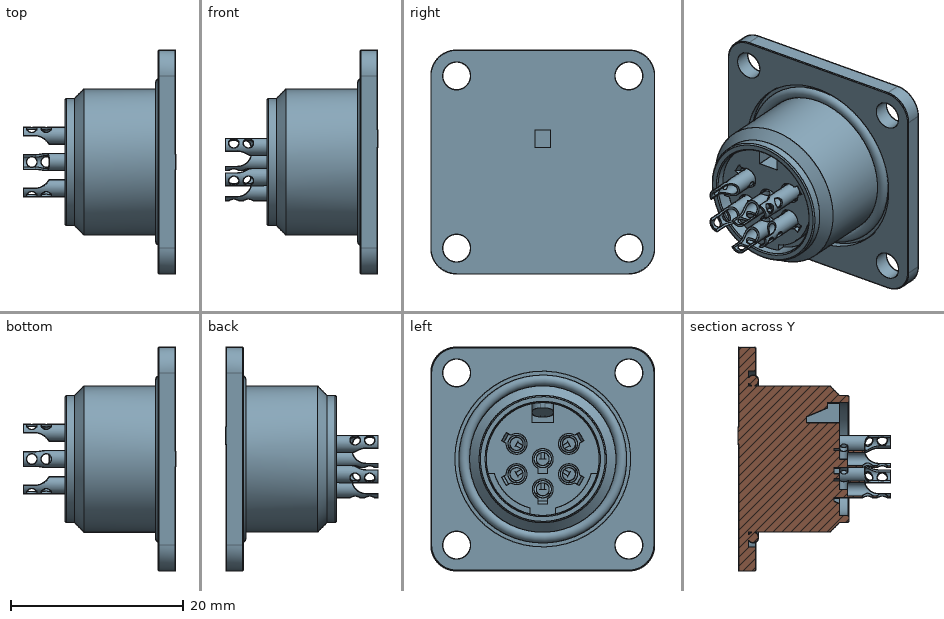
import cadquery as cq
import math


flange_side = 26.0
flange_thickness = 2.0
flange_corner_radius = 3.0
flange_edge_chamfer = 0.1
mount_hole_spacing = 20.0
mount_hole_diameter = 3.2

seal_section_radius = 0.62
seal_height = 0.3
seal_groove_diameter = 20.4
seal_overlap = 0.1

shell_diameter = 17.0
neck_diameter = 14.8
shell_back = -12.82
neck_length = 1.12
neck_chamfer = 0.15

bore_diameter = 13.4
insert_diameter = 13.1
bore_chamfer = (bore_diameter - insert_diameter) / 2
insert_depth = 1.1
insert_face = shell_back + insert_depth

relief_inner_diameter = 11.75
relief_top = -1.66
relief_tab_width = 2.9
relief_depth = 1.0

pocket_width = 2.5
pocket_bottom = 4.25
pocket_depth = 3.85
peg_width = 2.45
peg_corner_radius = 1.0
peg_front_bottom = 5.93
peg_back_bottom = 4.9

pin_circle_radius = 3.5
pin_angles = [30, 150, 210, 270, 330]
pin_diameter = 2.0
pin_end = -17.65
pin_bore_diameter = 1.5
pin_bore_depth = 5.0
cup_offset = 0.5
cup_flat_length = 1.43
cup_arc_radius = 1.6
solder_hole_diameter = 1.2
solder_hole_positions = [1.0, 2.68]
vent_hole_diameter = 1.0
vent_hole_position = 5.43

seat_diameter = 2.42
seat_depth = 0.65
slot_width = 1.1
slot_reach = 1.7
slot_slope = 0.3

pad_height = 0.1
pad_width = 1.77
pad_length = 2.03
pad_center = 2.7

shell_radius = shell_diameter / 2
insert_radius = insert_diameter / 2
pin_radius = pin_diameter / 2


def cylinder_x(diameter, start, end):
    """Cylinder on the connector axis, from X = start to X = end."""
    return cq.Workplane("YZ", origin=(start, 0, 0)).circle(diameter / 2).extrude(end - start)


def box_between(x_range, y_range, z_range):
    sizes = [high - low for low, high in (x_range, y_range, z_range)]
    corner = (x_range[0], y_range[0], z_range[0])
    return cq.Workplane("XY").box(*sizes, centered=False).translate(corner)


def at_pin(shape, radius, angle):
    """Move a shape built on the axis, outward along +Y, to its pin place."""
    return shape.translate((0, radius, 0)).rotate((0, 0, 0), (1, 0, 0), angle)


def make_flange():
    flange = (
        cq.Workplane("YZ", origin=(-flange_thickness, 0, 0))
        .rect(flange_side, flange_side)
        .extrude(flange_thickness)
        .edges("|X")
        .fillet(flange_corner_radius)
    )
    flange = flange.faces("<X").chamfer(flange_edge_chamfer)
    holes = (
        cq.Workplane("YZ", origin=(-flange_thickness, 0, 0))
        .rect(mount_hole_spacing, mount_hole_spacing, forConstruction=True)
        .vertices()
        .circle(mount_hole_diameter / 2)
        .extrude(flange_thickness)
    )
    return flange.cut(holes)


def make_seal():
    ring_radius = shell_radius + seal_section_radius
    center_x = -flange_thickness - seal_height + seal_section_radius
    return (
        cq.Workplane("XY")
        .center(center_x, ring_radius)
        .circle(seal_section_radius)
        .revolve(360, (0, -ring_radius, 0), (1, -ring_radius, 0))
    )


def make_shell():
    neck_radius = neck_diameter / 2
    neck_end = shell_back + neck_length
    cone_end = neck_end + shell_radius - neck_radius
    return (
        cq.Workplane("XY")
        .moveTo(0, 0)
        .lineTo(shell_back, 0)
        .lineTo(shell_back, neck_radius - neck_chamfer)
        .lineTo(shell_back + neck_chamfer, neck_radius)
        .lineTo(neck_end, neck_radius)
        .lineTo(cone_end, shell_radius)
        .lineTo(0, shell_radius)
        .close()
        .revolve(360, (0, 0, 0), (1, 0, 0))
    )


def make_insert_recess():
    mouth = (
        cq.Workplane("YZ", origin=(shell_back, 0, 0))
        .circle(bore_diameter / 2)
        .workplane(offset=bore_chamfer)
        .circle(insert_radius)
        .loft(ruled=True)
    )
    return mouth.union(cylinder_x(insert_diameter, shell_back, insert_face))


def make_relief():
    relief_end = insert_face + relief_depth
    ring = cylinder_x(insert_diameter, insert_face, relief_end)
    ring = ring.cut(cylinder_x(relief_inner_diameter, insert_face, relief_end))
    depth_range = (insert_face, relief_end)
    lower = box_between(depth_range, (-insert_radius, insert_radius), (-insert_radius, relief_top))
    tab = box_between(
        depth_range,
        (-relief_tab_width / 2, relief_tab_width / 2),
        (-insert_radius, relief_top),
    )
    return ring.intersect(lower).cut(tab)


def make_key_pocket():
    pocket_end = insert_face + pocket_depth
    pocket = box_between(
        (insert_face, pocket_end),
        (-pocket_width / 2, pocket_width / 2),
        (pocket_bottom, insert_radius),
    ).intersect(cylinder_x(insert_diameter, insert_face, pocket_end))
    peg_front = pocket_end - peg_width
    peg = (
        cq.Workplane("XZ", origin=(0, peg_width / 2, 0))
        .moveTo(peg_front, insert_radius)
        .lineTo(peg_front, peg_front_bottom)
        .lineTo(pocket_end, peg_back_bottom)
        .lineTo(pocket_end, insert_radius)
        .close()
        .extrude(peg_width)
        .edges("|Z")
        .fillet(peg_corner_radius)
    )
    return pocket.cut(peg)


def make_seat(slope):
    """Round seat with a slot towards +Y whose outer end may slope."""
    seat = cylinder_x(seat_diameter, insert_face, insert_face + seat_depth)
    slot = (
        cq.Workplane("XY", origin=(0, 0, -slot_width / 2))
        .moveTo(insert_face, 0)
        .lineTo(insert_face, slot_reach)
        .lineTo(insert_face + seat_depth, slot_reach - slope)
        .lineTo(insert_face + seat_depth, 0)
        .close()
        .extrude(slot_width)
    )
    return seat.union(slot)


def make_side_hole(position, diameter, reach):
    """Cross hole at a distance from the pin end, from the pin axis to Y = reach."""
    return (
        cq.Workplane("XZ", origin=(pin_end + position, 0, 0))
        .circle(diameter / 2)
        .extrude(-reach)
    )


def make_pin():
    """Solder-cup pin on the axis: open towards -Y, drilled through its +Y wall,

    with a vent hole in the -Y wall near the insert.
    """
    pin = cylinder_x(pin_diameter, pin_end, insert_face + seat_depth)
    pin = pin.cut(cylinder_x(pin_bore_diameter, pin_end, pin_end + pin_bore_depth))

    arc_start = pin_end + cup_flat_length
    arc_center_y = cup_offset - cup_arc_radius
    diagonal = cup_arc_radius * math.sqrt(0.5)
    cup_opening = (
        cq.Workplane("XY", origin=(0, 0, -pin_radius))
        .moveTo(pin_end, cup_offset)
        .lineTo(arc_start, cup_offset)
        .threePointArc(
            (arc_start + diagonal, arc_center_y + diagonal),
            (arc_start + cup_arc_radius, arc_center_y),
        )
        .lineTo(pin_end, arc_center_y)
        .close()
        .extrude(pin_diameter)
    )
    pin = pin.cut(cup_opening)

    for position in solder_hole_positions:
        pin = pin.cut(make_side_hole(position, solder_hole_diameter, pin_radius))
    return pin.cut(make_side_hole(vent_hole_position, vent_hole_diameter, -pin_radius))


def make_pad():
    return box_between(
        (0, pad_height),
        (-pad_width / 2, pad_width / 2),
        (pad_center - pad_length / 2, pad_center + pad_length / 2),
    )


seal_floor = -flange_thickness - seal_height + 2 * seal_section_radius - seal_overlap
seal_groove = cylinder_x(seal_groove_diameter, -flange_thickness, seal_floor)
result = make_flange().cut(seal_groove).union(make_shell()).union(make_seal())

result = result.cut(make_insert_recess()).cut(make_relief()).cut(make_key_pocket())

pin_places = [(pin_circle_radius, angle, slot_slope) for angle in pin_angles]
pin_places.append((0, 270, 0))
for radius, angle, slope in pin_places:
    result = result.cut(at_pin(make_seat(slope), radius, angle))
    result = result.union(at_pin(make_pin(), radius, angle))

result = result.union(make_pad())